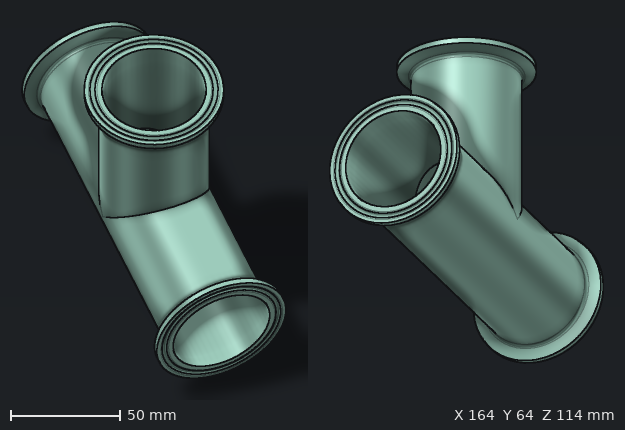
import cadquery as cq
import math

run_length = 164.0
arm_length = run_length / 2
tube_radius = 50.8 / 2
bore_radius = 47.7 / 2
flange_radius = 64.0 / 2

rim_thickness = 3.0
flange_back_angle = math.radians(20)
neck_fillet_radius = 2.0

groove_radius = 28.2
groove_half_width = 1.1
groove_depth = 1.1
groove_lip_width = 0.8
groove_lip_depth = 0.2


rim_z = arm_length - rim_thickness
neck_z = rim_z - (flange_radius - tube_radius) * math.tan(flange_back_angle)
tangent_length = neck_fillet_radius * math.tan(math.pi / 4 - flange_back_angle / 2)
tube_end_z = neck_z - tangent_length


def make_flange():
    """Solid flange with its neck fillet, from the end of the plain tube to the face."""
    cone_tangent = (
        tube_radius + tangent_length * math.cos(flange_back_angle),
        neck_z + tangent_length * math.sin(flange_back_angle),
    )
    middle_angle = (math.pi / 2 + flange_back_angle) / 2
    fillet_middle = (
        tube_radius + neck_fillet_radius * (1 - math.cos(middle_angle - flange_back_angle)),
        tube_end_z + neck_fillet_radius * math.sin(middle_angle - flange_back_angle),
    )

    return (
        cq.Workplane("XZ")
        .moveTo(0, tube_end_z)
        .lineTo(tube_radius, tube_end_z)
        .threePointArc(fillet_middle, cone_tangent)
        .lineTo(flange_radius, rim_z)
        .lineTo(flange_radius, arm_length)
        .lineTo(0, arm_length)
        .close()
        .revolve(360, (0, 0, 0), (0, 1, 0))
    )


def make_groove():
    """Round-bottomed ring with bevelled lips, cut into the ferrule face."""
    lip_half_width = groove_half_width + groove_lip_width
    lip_z = arm_length - groove_lip_depth
    return (
        cq.Workplane("XZ")
        .moveTo(groove_radius - lip_half_width, arm_length)
        .lineTo(groove_radius - groove_half_width, lip_z)
        .threePointArc(
            (groove_radius, arm_length - groove_depth),
            (groove_radius + groove_half_width, lip_z),
        )
        .lineTo(groove_radius + lip_half_width, arm_length)
        .close()
        .revolve(360, (0, 0, 0), (0, 1, 0))
    )


def make_tee(radius, reach):
    """Full-length run cylinder along X joined to a branch cylinder along +Z."""
    run = cq.Workplane("YZ").workplane(offset=-reach).circle(radius).extrude(2 * reach)
    branch = cq.Workplane("XY").circle(radius).extrude(reach)
    return run.union(branch)


def place_on_arms(shape):
    """Copies of an upright end shape at the -X, +Z and +X ends of the tee."""
    return [shape.rotate((0, 0, 0), (0, 1, 0), tilt) for tilt in (-90, 0, 90)]


result = make_tee(tube_radius, tube_end_z)
for flange in place_on_arms(make_flange()):
    result = result.union(flange)
result = result.cut(make_tee(bore_radius, arm_length))
for groove in place_on_arms(make_groove()):
    result = result.cut(groove)